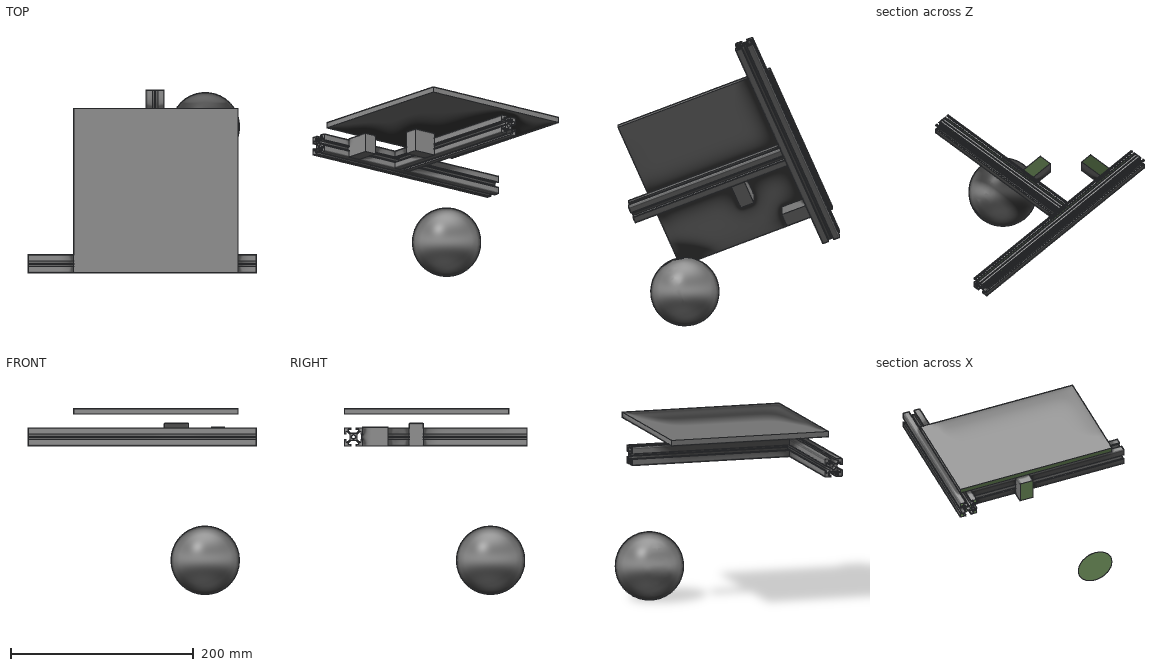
import cadquery as cq
import math


beam_size = 20.0
half_beam = beam_size / 2
corner_radius = 1.0
slot_opening = 6.0
slot_width = 11.4
lip_thickness = 1.8
core_size = 8.14
core_bore = 4.2
rib_thickness = 1.5
groove_width = 1.0
groove_depth = 0.6

long_beam_length = 250.0
cross_beam_length = 180.0
cross_beam_x = 14.0

plate_size = 180.0
plate_thickness = 6.0
plate_gap = 15.0
plate_center_x = 15.0

ball_radius = 37.5
ball_center = (69.0, 160.0, -125.0)

box_length = 26.8
box_width = 15.5
box_rise = 5.0
box_y = 71.0
box_edge_radius = 1.0

block_width = 14.6
block_length = 28.0
block_rise = 0.8
block_x = 75.6
tongue_height = 4.8
tongue_reach = 1.2
tongue_end_bevel = 0.5


def slot_cutter(length):
    """One T-slot on the +Y side of the profile: lips, undercut, sloping flanks and core groove."""
    half_opening = slot_opening / 2
    half_width = slot_width / 2
    half_core = core_size / 2
    half_groove = groove_width / 2
    under_lip = half_beam - lip_thickness
    flank_offset = rib_thickness / 2 * math.sqrt(2)
    flank_top = half_width + flank_offset
    flank_foot = half_core - flank_offset
    right_side = [
        (half_opening, half_beam),
        (half_opening, under_lip),
        (half_width, under_lip),
        (half_width, flank_top),
        (flank_foot, half_core),
        (half_groove, half_core),
    ]
    left_side = [(-across, out) for across, out in reversed(right_side)]
    outline = right_side + [(0, half_core - groove_depth)] + left_side
    return cq.Workplane("XY").polyline(outline).close().extrude(length)


def make_beam(length):
    """A beam standing on the origin along +Z, its profile centred on the axis."""
    beam = (
        cq.Workplane("XY")
        .rect(beam_size, beam_size)
        .extrude(length)
        .edges("|Z")
        .fillet(corner_radius)
    )
    slot = slot_cutter(length)
    for side in range(4):
        beam = beam.cut(slot.rotate((0, 0, 0), (0, 0, 1), 90 * side))
    return beam.cut(cq.Workplane("XY").circle(core_bore / 2).extrude(length))


long_beam = (
    make_beam(long_beam_length)
    .rotate((0, 0, 0), (0, 1, 0), 90)
    .translate((-long_beam_length / 2, half_beam, half_beam))
)

cross_beam = (
    make_beam(cross_beam_length)
    .rotate((0, 0, 0), (1, 0, 0), -90)
    .translate((cross_beam_x, beam_size, half_beam))
)

plate = (
    cq.Workplane("XY")
    .box(plate_size, plate_size, plate_thickness, centered=(True, False, False))
    .translate((plate_center_x, 0, beam_size + plate_gap))
)

ball = cq.Workplane("XY").sphere(ball_radius).rotate((0, 0, 0), (0, 0, 1), 180).translate(ball_center)

box = (
    cq.Workplane("XY")
    .box(box_length, box_width, beam_size + box_rise, centered=False)
    .faces(">Z")
    .edges()
    .fillet(box_edge_radius)
    .translate((cross_beam_x + half_beam, box_y, 0))
)

tongue = (
    cq.Workplane("XY")
    .box(block_width, tongue_reach, tongue_height, centered=(False, False, True))
    .faces("<Y")
    .edges("|X")
    .chamfer(tongue_end_bevel)
    .translate((block_x, beam_size - tongue_reach, half_beam))
)
slot_block = (
    cq.Workplane("XY")
    .box(block_width, block_length, beam_size + block_rise, centered=False)
    .translate((block_x, beam_size, 0))
    .union(tongue)
)

result = cq.Compound.makeCompound(
    [long_beam.val(), cross_beam.val(), plate.val(), ball.val(), box.val(), slot_block.val()]
)